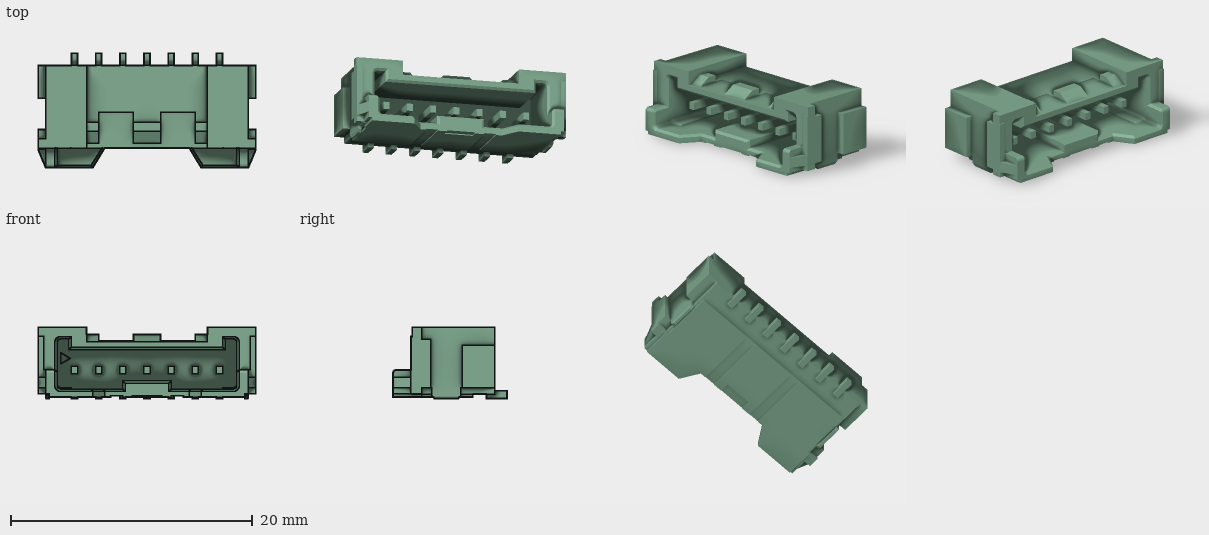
import cadquery as cq

HALF_WIDTH = 9.0
DEPTH = 9.45
HEIGHT = 5.9

FLANGE_REACH = 0.61
CORE_HALF = HALF_WIDTH - FLANGE_REACH
FACE_Y = 1.6
BACK_Y = 8.45
UNDER_Z = 0.13
SIDE_BOTTOM = 0.4
REAR_BOTTOM = 0.36
TOP_Z = 4.77
SHOULDER_IN = 4.99
SLAB_HALF = 8.1
SLAB_BACK_Y = 6.62
REAR_SLAB_HALF = 7.92

CAVITY_HALF = 7.42
CAVITY_TOP = 4.93
CAVITY_FLOOR = 0.8
CAVITY_BACK_Y = SLAB_BACK_Y
CAVITY_RADIUS = 0.27
TONGUE_HALF = 6.46
TONGUE_Z = 4.03
KEY_HALF = 2.02
KEY_Z = 1.45
MOUTH_CHAMFER = 0.2

LIP_IN_FRONT = 4.48
LIP_IN_BACK = 3.5
EAR_Z = 2.38
EAR_RADIUS = 0.3
GUSSET_BOTTOM = 0.88
GUSSET_TOP = 1.75

FLANGE_BACK_Y = 2.38
FLANGE_LOWER_BACK_Y = 3.15
FLANGE_LOWER_TOP = 4.91
PAD_Y = 1.5
PAD_IN = 8.51
PAD_TOP = 5.15
SIDE_RECESS_TOP = GUSSET_BOTTOM

CLIP_FRONT_Y = 5.72
CLIP_TOP = 4.41
TAB_FRONT_Y = 3.2
TAB_BACK_Y = 5.63
TAB_CHAMFER = 0.23
TAB_LEAN = 0.05

PANEL_Z = 4.7
PANEL_BACK_Y = 4.57
BUMP_Z = 5.31
BUMP_FRONT_Y = 2.02
BUMP_RIDGE_Y = 2.99
BUMP_BACK_Y = 3.76
MID_BUMP_HALF = 1.13
SIDE_BUMP_IN = 3.98

PIN_COUNT = 7
PIN_PITCH = 2.0
PIN_WIDTH = 0.5
PIN_BOTTOM = 2.05
PIN_TOP = 2.66
PIN_TIP_Y = 3.02
FOOT_TOP = 0.67
FOOT_FRONT_Y = 7.74

FLOOR_PAD_IN = 6.25
FLOOR_PAD_RISE = 0.1
FLOOR_PAD_FRONT_Y = 1.9
FLOOR_PAD_RAMP = 0.3
GROOVE_TOP = 0.22
GROOVE_IN = PIN_PITCH
GROOVE_OUT = 1.5 * PIN_PITCH
MID_GROOVE_HALF = 1.2
MARK_LEFT = -7.13
MARK_LENGTH = 0.77
MARK_BOTTOM = 2.86
MARK_HEIGHT = 0.94
MARK_DEPTH = 0.09


def block(x_range, y_range, z_range):
    """Axis-aligned box from its limits along X, Y and Z."""
    (x0, x1), (y0, y1), (z0, z1) = x_range, y_range, z_range
    return cq.Workplane("XY").box(x1 - x0, y1 - y0, z1 - z0, centered=False).translate((x0, y0, z0))


def prism_x(points_yz, x0, x1):
    """Outline in Y and Z, extruded along X."""
    return cq.Workplane("YZ").polyline(points_yz).close().extrude(x1 - x0).translate((x0, 0, 0))


def prism_z(points_xy, z0, z1):
    """Outline in X and Y, extruded along Z."""
    return cq.Workplane("XY").polyline(points_xy).close().extrude(z1 - z0).translate((0, 0, z0))


def both_sides(left):
    """A left-hand feature joined with its mirror image."""
    return left.union(left.mirror("YZ"))


def housing_block():
    core = block((-CORE_HALF, CORE_HALF), (FACE_Y, BACK_Y), (REAR_BOTTOM, HEIGHT))
    front_slab = block((-SLAB_HALF, SLAB_HALF), (FACE_Y, FLANGE_BACK_Y), (UNDER_Z, SIDE_BOTTOM))
    rear_slab = block(
        (-REAR_SLAB_HALF, REAR_SLAB_HALF), (FLANGE_BACK_Y, SLAB_BACK_Y), (UNDER_Z, SIDE_BOTTOM)
    )
    side_recess = block(
        (-CORE_HALF, -SLAB_HALF), (FLANGE_BACK_Y, BACK_Y), (REAR_BOTTOM, SIDE_RECESS_TOP)
    )
    return core.cut(both_sides(side_recess)).union(front_slab).union(rear_slab)


def lip_and_ears():
    outline = [
        (-CORE_HALF, 0),
        (-LIP_IN_FRONT, 0),
        (-LIP_IN_BACK, FACE_Y),
        (-CORE_HALF, FACE_Y),
    ]
    lip = prism_z(outline, UNDER_Z, CAVITY_FLOOR)
    ear = block((-CORE_HALF, -CAVITY_HALF), (0, FACE_Y), (UNDER_Z, EAR_Z))
    ear = ear.edges("|X and >Z and <Y").fillet(EAR_RADIUS)
    corner_fill = block(
        (-CAVITY_HALF, -CAVITY_HALF + CAVITY_RADIUS), (0, FACE_Y),
        (CAVITY_FLOOR, CAVITY_FLOOR + CAVITY_RADIUS)
    )
    notch = block((-CORE_HALF, -SLAB_HALF), (0, FACE_Y), (UNDER_Z, SIDE_BOTTOM))
    return both_sides(lip.union(ear).union(corner_fill).cut(notch))


def floor_pads():
    pad_z = CAVITY_FLOOR + FLOOR_PAD_RISE
    profile = [
        (FLOOR_PAD_FRONT_Y, CAVITY_FLOOR),
        (FLOOR_PAD_FRONT_Y + FLOOR_PAD_RAMP, pad_z),
        (CAVITY_BACK_Y, pad_z),
        (CAVITY_BACK_Y, CAVITY_FLOOR),
    ]
    return both_sides(prism_x(profile, -CAVITY_HALF, -FLOOR_PAD_IN))


def cavity():
    outline = [
        (-CAVITY_HALF, CAVITY_FLOOR),
        (-KEY_HALF, CAVITY_FLOOR),
        (-KEY_HALF, KEY_Z),
        (KEY_HALF, KEY_Z),
        (KEY_HALF, CAVITY_FLOOR),
        (CAVITY_HALF, CAVITY_FLOOR),
        (CAVITY_HALF, CAVITY_TOP),
        (TONGUE_HALF, CAVITY_TOP),
        (TONGUE_HALF, TONGUE_Z),
        (-TONGUE_HALF, TONGUE_Z),
        (-TONGUE_HALF, CAVITY_TOP),
        (-CAVITY_HALF, CAVITY_TOP),
    ]
    space = cq.Workplane("XZ").polyline(outline).close().extrude(-CAVITY_BACK_Y)
    space = space.cut(floor_pads())
    return space.edges("(<X or >X) and (not |Z)").fillet(CAVITY_RADIUS)


def chamfer_mouth(body):
    """Bevel the rim where the cavity meets the front face, ears and lip, but not the fillet seams."""
    slack = 0.002
    rim_zone = cq.selectors.BoxSelector(
        (-CAVITY_HALF - slack, -slack, CAVITY_FLOOR - slack),
        (CAVITY_HALF + slack, FACE_Y + slack, CAVITY_TOP + slack),
        boundingbox=True,
    )
    floor_corners = cq.selectors.BoxSelector(
        (-HALF_WIDTH, 0, 0), (HALF_WIDTH, FACE_Y, CAVITY_FLOOR + 2 * CAVITY_RADIUS)
    )
    floor_seams = floor_corners & cq.selectors.ParallelDirSelector(cq.Vector(0, 1, 0))
    return body.edges(rim_zone - floor_seams).chamfer(MOUTH_CHAMFER)


def side_flanges():
    upper = block((-HALF_WIDTH, -CORE_HALF), (FACE_Y, FLANGE_BACK_Y), (SIDE_BOTTOM, HEIGHT))
    lower = block(
        (-HALF_WIDTH, -CORE_HALF), (FLANGE_BACK_Y, FLANGE_LOWER_BACK_Y),
        (SIDE_RECESS_TOP, FLANGE_LOWER_TOP)
    )
    pad = block((-HALF_WIDTH, -PAD_IN), (PAD_Y, FACE_Y), (SIDE_BOTTOM, PAD_TOP))
    pad_foot = block((-HALF_WIDTH, -CORE_HALF), (PAD_Y, FACE_Y), (SIDE_BOTTOM, EAR_Z))
    gusset = prism_z(
        [(-HALF_WIDTH, PAD_Y), (-CORE_HALF, 0), (-CORE_HALF, PAD_Y)], GUSSET_BOTTOM, GUSSET_TOP
    )
    return both_sides(upper.union(lower).union(pad).union(pad_foot).union(gusset))


def clips_and_tabs():
    clip = block((-HALF_WIDTH, -CORE_HALF), (CLIP_FRONT_Y, BACK_Y), (SIDE_RECESS_TOP, CLIP_TOP))
    tab = block((-CORE_HALF, -SLAB_HALF), (TAB_FRONT_Y, TAB_BACK_Y), (0, SIDE_RECESS_TOP))
    tab = tab.edges("|X and <Z").chamfer(TAB_CHAMFER)
    lean = cq.Workplane("XZ").polyline(
        [(-CORE_HALF, TAB_CHAMFER), (-CORE_HALF, 0), (-CORE_HALF + TAB_LEAN, 0)]
    ).close().extrude(-BACK_Y)
    tab_root = block(
        (-SLAB_HALF, -REAR_SLAB_HALF), (TAB_FRONT_Y, TAB_BACK_Y), (SIDE_BOTTOM, SIDE_RECESS_TOP)
    )
    return both_sides(clip.union(tab.cut(lean)).union(tab_root))


def roof_saddle():
    """Space between the shoulders, slightly deeper along the front of the roof."""
    span = (-SHOULDER_IN, SHOULDER_IN)
    rear = block(span, (PANEL_BACK_Y, BACK_Y), (TOP_Z, HEIGHT))
    front = block(span, (FACE_Y, PANEL_BACK_Y), (PANEL_Z, HEIGHT))
    return rear.union(front)


def roof_bump(x0, x1):
    profile = [
        (BUMP_FRONT_Y, PANEL_Z),
        (BUMP_RIDGE_Y, BUMP_Z),
        (BUMP_BACK_Y, BUMP_Z),
        (BUMP_BACK_Y, TOP_Z),
        (PANEL_BACK_Y, TOP_Z),
        (PANEL_BACK_Y, PANEL_Z),
    ]
    return prism_x(profile, x0, x1)


def contacts():
    pins = cq.Workplane("XY")
    for index in range(PIN_COUNT):
        x = (index - (PIN_COUNT - 1) / 2) * PIN_PITCH
        sides = (x - PIN_WIDTH / 2, x + PIN_WIDTH / 2)
        pins = pins.union(block(sides, (PIN_TIP_Y, FOOT_FRONT_Y), (PIN_BOTTOM, PIN_TOP)))
        pins = pins.union(block(sides, (FOOT_FRONT_Y, DEPTH), (0, FOOT_TOP)))
    return pins


def underside_grooves():
    side = block((-GROOVE_OUT, -GROOVE_IN), (0, SLAB_BACK_Y), (UNDER_Z, GROOVE_TOP))
    middle = block((-MID_GROOVE_HALF, MID_GROOVE_HALF), (0, FLANGE_BACK_Y), (UNDER_Z, GROOVE_TOP))
    return both_sides(side).union(middle)


def pin_one_mark():
    corners = [
        (MARK_LEFT, MARK_BOTTOM),
        (MARK_LEFT, MARK_BOTTOM + MARK_HEIGHT),
        (MARK_LEFT + MARK_LENGTH, MARK_BOTTOM + MARK_HEIGHT / 2),
    ]
    mark = cq.Workplane("XZ").polyline(corners).close().extrude(-MARK_DEPTH)
    return mark.translate((0, CAVITY_BACK_Y, 0))


housing = chamfer_mouth(housing_block().union(lip_and_ears()).cut(cavity()))
housing = housing.cut(roof_saddle()).union(side_flanges()).union(clips_and_tabs())
housing = housing.union(roof_bump(-MID_BUMP_HALF, MID_BUMP_HALF))
housing = housing.union(both_sides(roof_bump(-SHOULDER_IN, -SIDE_BUMP_IN)))
housing = housing.cut(underside_grooves()).cut(pin_one_mark())
result = housing.union(contacts())